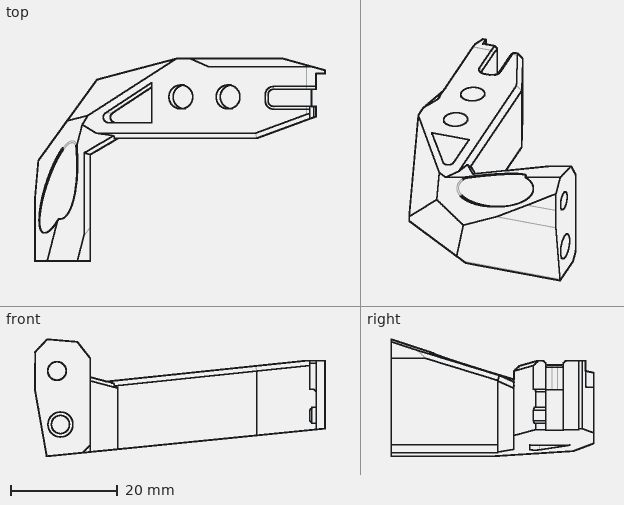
import cadquery as cq
import math

TOTAL_LENGTH = 54.48
TOTAL_DEPTH = 38.05
TOTAL_HEIGHT = 22.01
CUTTER_SIZE = 200.0
BLOCK_TOP = TOTAL_HEIGHT + 1.0
PICK_MARGIN = 0.1

LEG_WIDTH = 10.43
LEG_FOOT_X = 2.15
LEG_FOOT_RISE = 0.33
LEG_LEAN_START_Z = 12.45
LEG_UPPER_LEAN_Z = 16.15
LEG_UPPER_LEAN = 0.06
LEG_TOP_X = 2.35
LEG_TOP_SLOPE_X = -0.085
LEG_TOP_SLOPE_Y = -0.306
LEG_RIDGE_X = 7.96
LEG_SHOULDER_Z = 18.4
LEG_EDGE_BEVEL_WIDTH = 1.19
LEG_EDGE_BEVEL_DROP = 1.03
LEG_BOTTOM_BEVEL = 1.5

BOTTOM_SLOPE = 0.0996

ARM_TILT = 5.96
ARM_TOP_Z_AT_ORIGIN = 12.68
ARM_FRONT_Y = 23.03
ARM_FRONT_BEVEL = 1.0
ARM_TAPER_START_X = 41.6
ARM_TAPER_ANGLE = 20.2
ARM_END_X = 52.8
ARM_END_TOP_Z = 18.0
ARM_BACK_START_X = 26.6
ARM_BACK_END_X = 46.55

WEB_START_Y = 20.0
WEB_END_X = 15.6
WEB_BEVEL_WIDTH = 0.87
WEB_OVERLAP = 2.0

CORNER_X = 11.66
CORNER_Y = 34.1
CORNER_TOP_Z = 2.1
FACET_LOW_X = 0.57
FACET_LOW_Y = 18.8
FACET_HIGH = (9.73, 27.2)
FACET_BEVEL_Z = 1.2
LEG_BEVEL_Z = 19.57
LEG_BEVEL_SLOPE_X = 1.06
LEG_BEVEL_SLOPE_Y = -0.6

LEDGE_FRONT_Y = 36.5
LEDGE_START_X = 29.1
LEDGE_WALL_START_X = 32.6
LEDGE_FALL = 0.6

SCREW_X = 4.15
SCREW_Z = 16.05
SCREW_DIAMETER = 3.43
SCREW_SEAT_Y = 4.0
SCOOP_X = 4.4
SCOOP_Z = 15.85
SCOOP_RADIUS = 3.5
SCOOP_RIM_BEVEL = 0.18
INSERT_X = 4.8
INSERT_Z = 6.0
INSERT_DIAMETER = 4.7
INSERT_DEPTH = 6.0
INSERT_PILOT_DIAMETER = 3.4
INSERT_PILOT_DEPTH = 10.0
ARM_HOLE_DIAMETER = 4.5
ARM_HOLE_DEPTH = 7.5
ARM_HOLE_Y = 30.83
ARM_HOLE_FIRST_X = 27.4
ARM_HOLE_SPACING = 8.86

WINDOW_LEFT_X = 10.5
WINDOW_RIGHT_X = 21.9
WINDOW_FRONT_Y = 26.0
WINDOW_BACK_Y = 33.5
WINDOW_RADIUS = 1.0

SLOT_START_X = 43.76
SLOT_FRONT_Y = 29.06
SLOT_BACK_Y = 32.27
SLOT_RADIUS = 1.05
SLOT_BEVEL = 0.52
SLOT_RIM_FALL = 1.5
SLOT_FLOOR_Z = 12.5
SLOT_FLOOR_END_X = 51.93
LIP_FRONT_Y = 35.2
LIP_BACK_Y = 35.85
PRONG_END_X = 51.6
PRONG_STEP_Z = 12.65
PRONG_NOTCH_BOTTOM_Z = 6.2
PRONG_NOTCH_TOP_Z = 9.2
PRONG_CORNER = 0.5


def arm_top_z(x):
    return ARM_TOP_Z_AT_ORIGIN + x * math.tan(math.radians(ARM_TILT))


def leg_top_z(x, y):
    return TOTAL_HEIGHT + LEG_TOP_SLOPE_X * (x - LEG_TOP_X) + LEG_TOP_SLOPE_Y * y


def outer_bevel_z(x, y):
    return LEG_BEVEL_Z + LEG_BEVEL_SLOPE_X * x + LEG_BEVEL_SLOPE_Y * y


def bottom_z(x):
    return BOTTOM_SLOPE * (x - LEG_FOOT_X)


def half_space(a, b, c):
    """Block outside the plane a-b-c, whose points run counter-clockwise seen from outside."""
    start = cq.Vector(*a)
    along = cq.Vector(*b) - start
    outward = along.cross(cq.Vector(*c) - start)
    plane = cq.Plane(origin=a, xDir=along.toTuple(), normal=outward.toTuple())
    return cq.Workplane(plane).rect(CUTTER_SIZE, CUTTER_SIZE).extrude(CUTTER_SIZE)


def above(height):
    """Block above the plane z = height(x, y)."""
    corners = [(0, 0), (1, 0), (0, 1)]
    return half_space(*[(x, y, height(x, y)) for x, y in corners])


def prism(points, bottom, top):
    return cq.Workplane("XY", origin=(0, 0, bottom)).polyline(points).close().extrude(top - bottom)


def box(x0, x1, y0, y1, z0, z1):
    return cq.Workplane("XY").box(x1 - x0, y1 - y0, z1 - z0, centered=False).translate((x0, y0, z0))


def leg():
    web_slope = (ARM_FRONT_Y - WEB_START_Y) / (WEB_END_X - LEG_WIDTH)
    web_run = WEB_END_X + WEB_OVERLAP - LEG_WIDTH
    web_tip = (LEG_WIDTH + web_run, WEB_START_Y + web_run * web_slope)
    body = prism(
        [
            (0, 0),
            (LEG_WIDTH, 0),
            (LEG_WIDTH, WEB_START_Y),
            web_tip,
            (web_tip[0], TOTAL_DEPTH),
            (0, TOTAL_DEPTH),
        ],
        0,
        BLOCK_TOP,
    )
    body = body.cut(above(leg_top_z))

    ridge_z = leg_top_z(LEG_RIDGE_X, 0)
    ridge = (LEG_RIDGE_X, 0, ridge_z)
    shoulder = (LEG_WIDTH, 0, LEG_SHOULDER_Z)
    shoulder_back = (LEG_WIDTH, 1, LEG_SHOULDER_Z)
    wedge = half_space(ridge, shoulder, shoulder_back)
    body = body.cut(wedge.intersect(box(0, LEG_WIDTH, 0, WEB_START_Y, 0, BLOCK_TOP)))

    inner_x = LEG_WIDTH - LEG_EDGE_BEVEL_WIDTH

    def side_bevel_z(x, y):
        top = leg_top_z(inner_x, y)
        return top - (x - inner_x) * LEG_EDGE_BEVEL_DROP / LEG_EDGE_BEVEL_WIDTH

    web_length = math.hypot(1, web_slope)

    def web_bevel_z(x, y):
        depth = (y - WEB_START_Y - (x - LEG_WIDTH) * web_slope) / web_length
        drop = (WEB_BEVEL_WIDTH - depth) * LEG_EDGE_BEVEL_DROP / WEB_BEVEL_WIDTH
        return leg_top_z(x, y) - drop

    miter_y = WEB_START_Y + WEB_BEVEL_WIDTH * web_length - LEG_EDGE_BEVEL_WIDTH * web_slope
    miter = (inner_x, miter_y)
    side = above(side_bevel_z).intersect(
        prism(
            [
                (inner_x, 0),
                (LEG_WIDTH, 0),
                (LEG_WIDTH, WEB_START_Y),
                miter,
            ],
            0,
            BLOCK_TOP,
        )
    )
    web = above(web_bevel_z).intersect(
        prism(
            [
                (LEG_WIDTH, WEB_START_Y),
                web_tip,
                (web_tip[0], web_tip[1] + WEB_BEVEL_WIDTH * web_length),
                miter,
            ],
            0,
            BLOCK_TOP,
        )
    )
    body = body.cut(side).cut(web)

    bevel_start_x = LEG_WIDTH - LEG_BOTTOM_BEVEL
    start_z = bottom_z(bevel_start_x)
    bevel = half_space(
        (bevel_start_x, 0, start_z),
        (bevel_start_x, 1, start_z),
        (LEG_WIDTH, 0, start_z + LEG_BOTTOM_BEVEL),
    )
    return body.cut(bevel.intersect(box(0, LEG_WIDTH, 0, WEB_START_Y, 0, TOTAL_HEIGHT)))


def arm():
    taper = math.tan(math.radians(ARM_TAPER_ANGLE))
    end_front_y = ARM_FRONT_Y + (ARM_END_X - ARM_TAPER_START_X) * taper
    body = prism(
        [
            (0, ARM_FRONT_Y),
            (ARM_TAPER_START_X, ARM_FRONT_Y),
            (ARM_END_X, end_front_y),
            (ARM_END_X, LIP_FRONT_Y),
            (TOTAL_LENGTH, LIP_FRONT_Y),
            (TOTAL_LENGTH, LIP_BACK_Y),
            (ARM_BACK_END_X, TOTAL_DEPTH),
            (0, TOTAL_DEPTH),
        ],
        0,
        ARM_END_TOP_Z,
    )
    body = body.cut(above(lambda x, y: arm_top_z(x)))

    body = body.cut(above(lambda x, y: arm_top_z(x) - ARM_FRONT_BEVEL + (y - ARM_FRONT_Y)))
    cos_taper = math.cos(math.radians(ARM_TAPER_ANGLE))

    def taper_bevel_z(x, y):
        depth = (y - ARM_FRONT_Y - (x - ARM_TAPER_START_X) * taper) * cos_taper
        return arm_top_z(x) - ARM_FRONT_BEVEL + depth

    body = body.cut(above(taper_bevel_z))

    start = (LEDGE_START_X, TOTAL_DEPTH, arm_top_z(LEDGE_START_X))
    wall_start = (LEDGE_WALL_START_X, LEDGE_FRONT_Y, arm_top_z(LEDGE_WALL_START_X))
    step_x = wall_start[0] - start[0]
    step_y = start[1] - wall_start[1]
    fall = LEDGE_FALL * math.hypot(step_x, step_y)
    lower = (start[0] + step_y, start[1] + step_x, start[2] - fall)
    ledge = half_space(start, wall_start, lower)
    behind = box(0, TOTAL_LENGTH, LEDGE_FRONT_Y, TOTAL_DEPTH, 0, TOTAL_HEIGHT)
    return body.cut(ledge.intersect(behind))


def cut_bottom_and_outer_side(body):
    body = body.cut(above(lambda x, y: -bottom_z(x)).mirror("XY"))
    lower_lean = [(0, LEG_LEAN_START_Z), (LEG_FOOT_X, LEG_FOOT_RISE), (LEG_FOOT_X, 0), (0, 0)]
    upper_lean = [(0, LEG_UPPER_LEAN_Z), (LEG_UPPER_LEAN, LEG_BEVEL_Z), (0, LEG_BEVEL_Z)]
    for outline in (lower_lean, upper_lean):
        body = body.cut(cq.Workplane("XZ").polyline(outline).close().extrude(-TOTAL_DEPTH))
    return body


def cut_outer_corner(body):
    body = body.cut(above(outer_bevel_z))
    corner = (CORNER_X, CORNER_Y, CORNER_TOP_Z)
    back_bottom = (ARM_BACK_START_X, TOTAL_DEPTH, 0)
    corner_bottom = (CORNER_X, CORNER_Y, 0)
    low_bottom = (FACET_LOW_X, FACET_LOW_Y, 0)
    low_top = (FACET_LOW_X, FACET_LOW_Y, 1)
    high = (*FACET_HIGH, arm_top_z(FACET_HIGH[0]))
    back_top = (ARM_BACK_START_X, TOTAL_DEPTH, arm_top_z(ARM_BACK_START_X))
    body = body.cut(half_space(back_bottom, corner_bottom, corner))
    body = body.cut(half_space(corner_bottom, low_bottom, low_top))
    body = body.cut(half_space(back_top, corner, high))

    run_x = CORNER_X - FACET_LOW_X
    run_y = CORNER_Y - FACET_LOW_Y
    length = math.hypot(run_x, run_y)
    inset_x = run_y / length * FACET_BEVEL_Z
    inset_y = -run_x / length * FACET_BEVEL_Z
    bevel = half_space(
        (CORNER_X, CORNER_Y, FACET_BEVEL_Z),
        (CORNER_X + inset_x, CORNER_Y + inset_y, 0),
        (FACET_LOW_X, FACET_LOW_Y, FACET_BEVEL_Z),
    )
    return body.cut(bevel)


def bore(x, z, diameter, y0, y1):
    return cq.Workplane("XZ", origin=(x, y0, z)).circle(diameter / 2).extrude(y0 - y1)


def cut_scoop(body):
    """Clear the screw head with a bore that breaks out through the sloping top."""
    body = body.cut(bore(SCOOP_X, SCOOP_Z, 2 * SCOOP_RADIUS, SCREW_SEAT_Y, TOTAL_DEPTH))
    return body.edges("%ELLIPSE").chamfer(SCOOP_RIM_BEVEL)


def cut_leg_holes(body):
    body = body.cut(bore(SCREW_X, SCREW_Z, SCREW_DIAMETER, 0, SCREW_SEAT_Y))
    body = body.cut(bore(INSERT_X, INSERT_Z, INSERT_DIAMETER, 0, INSERT_DEPTH))
    return body.cut(bore(INSERT_X, INSERT_Z, INSERT_PILOT_DIAMETER, 0, INSERT_PILOT_DEPTH))


def cut_arm_openings(body):
    tilt = math.radians(ARM_TILT)
    top = cq.Plane(
        origin=(0, 0, ARM_TOP_Z_AT_ORIGIN),
        xDir=(math.cos(tilt), 0, math.sin(tilt)),
        normal=(-math.sin(tilt), 0, math.cos(tilt)),
    )

    def on_top(x, y):
        return (x / math.cos(tilt), y)

    hole_xs = [ARM_HOLE_FIRST_X, ARM_HOLE_FIRST_X + ARM_HOLE_SPACING]
    centers = [on_top(x, ARM_HOLE_Y) for x in hole_xs]
    holes = cq.Workplane(top).pushPoints(centers).circle(ARM_HOLE_DIAMETER / 2).extrude(-ARM_HOLE_DEPTH)
    corners = [
        on_top(WINDOW_LEFT_X, WINDOW_FRONT_Y),
        on_top(WINDOW_RIGHT_X, WINDOW_FRONT_Y),
        on_top(WINDOW_RIGHT_X, WINDOW_BACK_Y),
    ]
    window = cq.Workplane(top).polyline(corners).close().extrude(TOTAL_HEIGHT, both=True)
    return body.cut(holes).cut(window.edges("<X and (not #Z)").fillet(WINDOW_RADIUS))


def cut_slot(body):
    slot = box(SLOT_START_X, TOTAL_LENGTH, SLOT_FRONT_Y, SLOT_BACK_Y, SLOT_FLOOR_Z, TOTAL_HEIGHT)
    body = body.cut(slot.edges("|Z and <X").fillet(SLOT_RADIUS))
    rim = cq.selectors.BoxSelector(
        (SLOT_START_X - PICK_MARGIN, SLOT_FRONT_Y - PICK_MARGIN, ARM_END_TOP_Z - SLOT_RIM_FALL),
        (ARM_END_X - PICK_MARGIN, SLOT_BACK_Y + PICK_MARGIN, ARM_END_TOP_Z + PICK_MARGIN),
    )
    body = body.edges(rim).chamfer(SLOT_BEVEL)
    end = box(SLOT_FLOOR_END_X, ARM_END_X, SLOT_FRONT_Y, SLOT_BACK_Y, 0, SLOT_FLOOR_Z)
    return body.cut(end)


def cut_prong(body):
    """Step back the front prong's end, leaving two blunt teeth."""
    upper = box(PRONG_END_X, ARM_END_X, ARM_FRONT_Y, SLOT_FRONT_Y, PRONG_STEP_Z, TOTAL_HEIGHT)
    notch = box(
        PRONG_END_X, ARM_END_X, ARM_FRONT_Y, SLOT_FRONT_Y, PRONG_NOTCH_BOTTOM_Z, PRONG_NOTCH_TOP_Z
    )
    tooth_edge = cq.selectors.BoxSelector(
        (ARM_END_X - PICK_MARGIN, ARM_FRONT_Y, PRONG_STEP_Z - PICK_MARGIN),
        (ARM_END_X + PICK_MARGIN, SLOT_FRONT_Y, PRONG_STEP_Z + PICK_MARGIN),
    )
    body = body.cut(upper).cut(notch.edges("|Y and <X").chamfer(PRONG_CORNER))
    return body.edges(tooth_edge).chamfer(PRONG_CORNER)


result = leg().union(arm())
result = cut_bottom_and_outer_side(result)
result = cut_outer_corner(result)
result = cut_scoop(result)
result = cut_leg_holes(result)
result = cut_arm_openings(result)
result = cut_slot(result)
result = cut_prong(result)